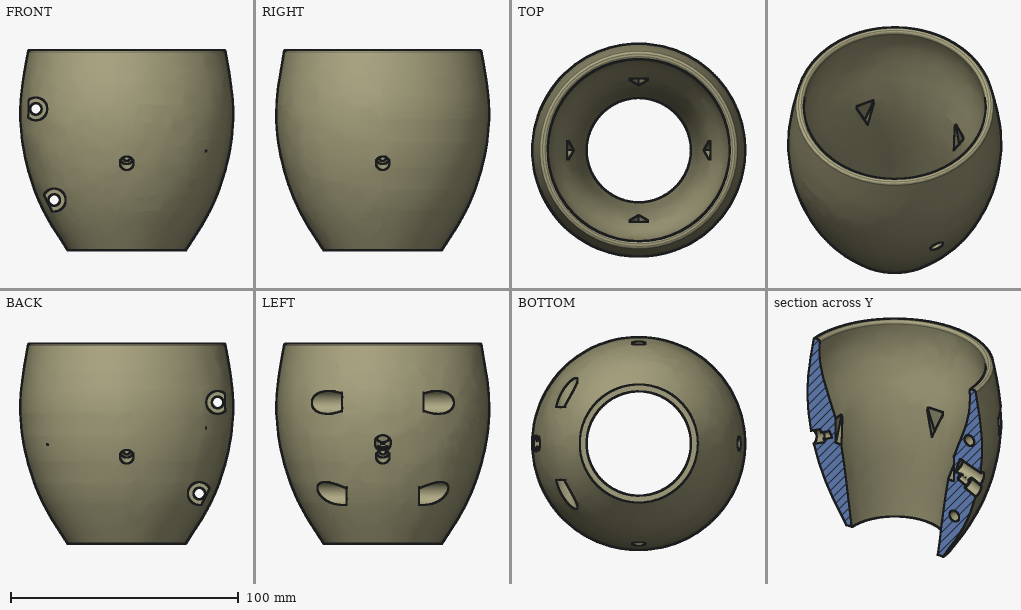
import cadquery as cq
import math

HEIGHT = 88.0
MAX_RADIUS = 46.8
RIM_ROUND = 1.2
OUTER_CURVE = [(25.9, 0), (31.1, 7.9), (35.8, 15.9), (40.6, 26.6), (43.9, 37.5),
               (46.1, 48.7), (MAX_RADIUS, 60.9), (45.2, 76.8), (43.3, HEIGHT)]
INNER_CURVE = [(22.85, 0), (28.5, 39.3), (31.5, 51.5), (36.1, 63.7), (39.7, HEIGHT)]

BOLT_DIAMETER = 5.0
BOLT_HEAD_DIAMETER = 10.0
BOLT_PLACES = [(-39.9, 62.1, 17.9), (-31.8, 22.1, 15.9)]

SCREW_DIAMETER = 3.0
SCREW_HEAD_DIAMETER = 6.0
SCREW_TILT = 24.0
SCREW_ENTRY = (43.7, 38.4)
SCREW_HEAD_DEPTH = 5.5
SCREW_DEPTH = 10.3
SIDES = 4

PORT_DIAMETER = 7.0
PORT_TILT = 18.0
PORT_ENTRY = (45.4, 44.2)
PORT_DEPTH = 12.2

POCKET_WIDTH = 8.1
POCKET_TOP = 51.5
POCKET_SIDE_HEIGHT = 1.4
POCKET_BOTTOM = 39.3
POCKET_END_RADIUS = 31.5
POCKET_START_RADIUS = 18.7

CLEARANCE = 9.4


def revolved(curve):
    """Solid of revolution below a smooth curve of (radius, height) points."""
    return (
        cq.Workplane("XZ")
        .moveTo(0, 0)
        .lineTo(*curve[0])
        .spline(curve[1:], includeCurrent=True)
        .lineTo(0, HEIGHT)
        .close()
        .revolve(360, (0, 0, 0), (0, 1, 0))
    )


def cup():
    outside = revolved(OUTER_CURVE).faces(">Z").edges().fillet(RIM_ROUND)
    shell = outside.cut(revolved(INNER_CURVE))
    inner_rim = cq.selectors.RadiusNthSelector(0)
    return shell.faces(">Z").edges(inner_rim).fillet(RIM_ROUND)


def bolt_cutter(x, z, seat):
    reach = MAX_RADIUS + CLEARANCE
    cutter = cq.Workplane("XZ").center(x, z).circle(BOLT_DIAMETER / 2).extrude(reach, both=True)
    for side in (-1, 1):
        head = (
            cq.Workplane("XZ", origin=(x, side * seat, z))
            .circle(BOLT_HEAD_DIAMETER / 2)
            .extrude(-side * (reach - seat))
        )
        cutter = cutter.union(head)
    return cutter


def climbing_bore(entry, diameter, depth, tilt_degrees):
    """Bore entering the -X wall at (radius, height) and rising toward the axis."""
    radius, height = entry
    tilt = math.radians(tilt_degrees)
    inward = cq.Vector(math.cos(tilt), 0, math.sin(tilt))
    start = cq.Vector(-radius, 0, height) - inward * CLEARANCE
    return cq.Workplane(cq.Solid.makeCylinder(diameter / 2, depth + CLEARANCE, start, inward))


def screw_cutter():
    shank = climbing_bore(SCREW_ENTRY, SCREW_DIAMETER, SCREW_DEPTH, SCREW_TILT)
    return shank.union(climbing_bore(SCREW_ENTRY, SCREW_HEAD_DIAMETER, SCREW_HEAD_DEPTH, SCREW_TILT))


def pocket_cutter():
    half = POCKET_WIDTH / 2
    side_bottom = POCKET_TOP - POCKET_SIDE_HEIGHT
    outline = [(-half, POCKET_TOP), (half, POCKET_TOP), (half, side_bottom),
               (0, POCKET_BOTTOM), (-half, side_bottom)]
    return (
        cq.Workplane("YZ", origin=(-POCKET_END_RADIUS, 0, 0))
        .polyline(outline)
        .close()
        .extrude(POCKET_END_RADIUS - POCKET_START_RADIUS)
    )


result = cup()
for x, z, seat in BOLT_PLACES:
    result = result.cut(bolt_cutter(x, z, seat))
for side in range(SIDES):
    angle = side * 360 / SIDES
    for cutter in (screw_cutter(), pocket_cutter()):
        result = result.cut(cutter.rotate((0, 0, 0), (0, 0, 1), angle))
result = result.cut(climbing_bore(PORT_ENTRY, PORT_DIAMETER, PORT_DEPTH, PORT_TILT))